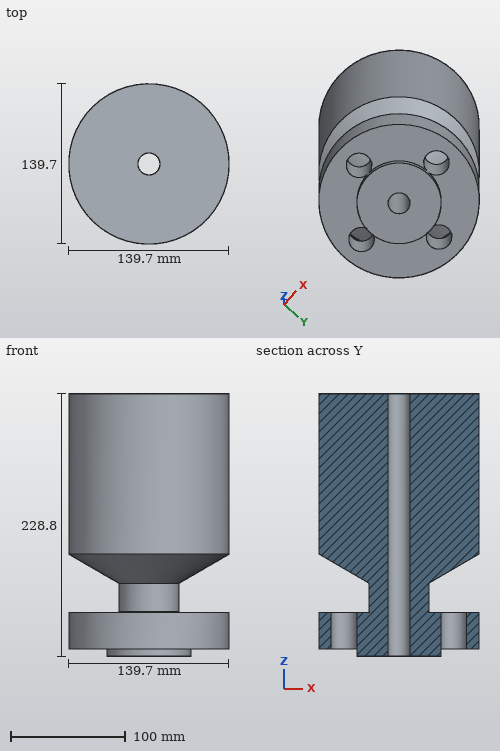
import cadquery as cq

body_diameter = 139.7
body_height = 139.7
cone_height = 25.4
neck_diameter = 52.3
neck_height = 25.4
neck_relief_depth = 0.5
neck_relief_height = 1.0
flange_thickness = 31.8
lip_diameter = 73.4
lip_height = 6.5
bore_diameter = 19.0

bolt_circle_diameter = 95.3
bolt_hole_diameter = 22.2
bolt_hole_count = 4

flange_bottom = lip_height
flange_top = flange_bottom + flange_thickness
relief_top = flange_top + neck_relief_height
neck_top = flange_top + neck_height
cone_top = neck_top + cone_height
body_top = cone_top + body_height


def turned_body():
    """Lip, flange, neck, cone and cylinder revolved from one half-profile around the bore."""
    bore_radius = bore_diameter / 2
    lip_radius = lip_diameter / 2
    neck_radius = neck_diameter / 2
    relief_radius = neck_radius - neck_relief_depth
    body_radius = body_diameter / 2
    profile = [
        (bore_radius, 0),
        (lip_radius, 0),
        (lip_radius, flange_bottom),
        (body_radius, flange_bottom),
        (body_radius, flange_top),
        (relief_radius, flange_top),
        (relief_radius, relief_top),
        (neck_radius, relief_top),
        (neck_radius, neck_top),
        (body_radius, cone_top),
        (body_radius, body_top),
        (bore_radius, body_top),
    ]
    return cq.Workplane("XZ").polyline(profile).close().revolve(360, (0, 0), (0, 1))


def bolt_holes():
    """Cylinders through flange and lip; each one just nicks the rim of the lip."""
    return (
        cq.Workplane("XY")
        .polarArray(bolt_circle_diameter / 2, 0, 360, bolt_hole_count)
        .circle(bolt_hole_diameter / 2)
        .extrude(flange_top)
    )


result = turned_body().cut(bolt_holes())